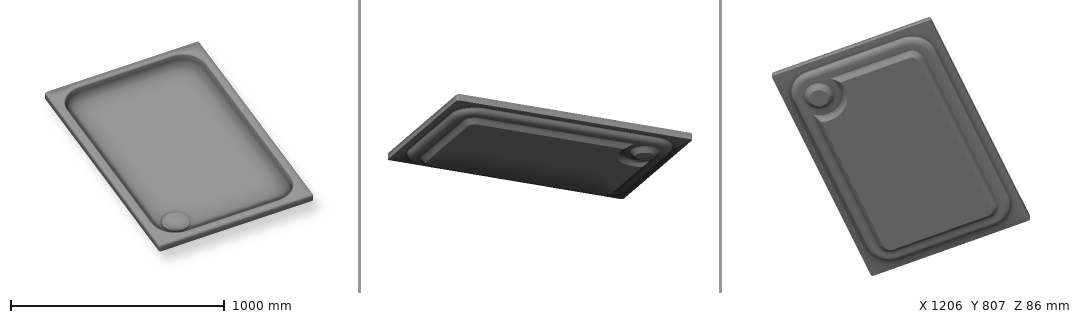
import cadquery as cq
import math

LENGTH = 1206.0
WIDTH = 807.0
HEIGHT = 86.0

RIM_HEIGHT = 36.0
RIM_ROUND = 10.0

CORNER_INSET = 162.0
WALL_DRAFT = 6.0
OPENING_INSET = 42.0
OPENING_ROUND = 7.0
FLOOR_DEPTH = 55.0
FLOOR_ROUND = 29.0

SHELL_INSET = 37.0
SHELL_DEPTH = 61.0
SHELL_ROUND = 31.0

FOOT_TOP_INSET = 104.0
FOOT_BOTTOM_INSET = 128.0
FOOT_WALL_RUN = FOOT_BOTTOM_INSET - FOOT_TOP_INSET

DRAIN_INSET = 170.0
DRAIN_X = LENGTH / 2 - DRAIN_INSET
DRAIN_Y = -WIDTH / 2 + DRAIN_INSET
POD_BOTTOM_DIAMETER = 90.0
CLEARANCE_BOTTOM_DIAMETER = 265.0
RECESS_DIAMETER = 151.0
RECESS_DEPTH = 4.0

CAP_DIAMETER = 130.0
CAP_RIM_HEIGHT = 7.0
CAP_DOME_HEIGHT = 8.0


def rounded_outline(inset, z):
    """Outline parallel to the rim edge, with corners about the shared corner centres."""
    radius = CORNER_INSET - inset
    return (
        cq.Sketch()
        .rect(LENGTH - 2 * inset, WIDTH - 2 * inset)
        .vertices()
        .fillet(radius)
        .moved(cq.Location(cq.Vector(0, 0, z)))
    )


def drafted_block(bottom_inset, bottom_z, top_inset, top_z):
    """Block whose outline changes evenly from the bottom inset to the top inset."""
    bottom = rounded_outline(bottom_inset, bottom_z)
    top = rounded_outline(top_inset, top_z)
    return cq.Workplane("XY").placeSketch(bottom, top).loft()


def bowl_block(top_inset, depth, bottom_round):
    """Block from Z = 0 down to the depth, with drafted sides and a rounded bottom edge."""
    bottom_inset = top_inset + depth * math.tan(math.radians(WALL_DRAFT))
    block = drafted_block(bottom_inset, -depth, top_inset, 0)
    return block.faces("<Z").edges().fillet(bottom_round)


def drain_cone(bottom_z, bottom_diameter, top_z, top_diameter):
    """Cone frustum on the drain axis."""
    height = top_z - bottom_z
    cone = cq.Solid.makeCone(bottom_diameter / 2, top_diameter / 2, height)
    return cq.Workplane(cone.moved(cq.Location(cq.Vector(DRAIN_X, DRAIN_Y, bottom_z))))


def make_rim():
    slab = cq.Workplane("XY").box(LENGTH, WIDTH, RIM_HEIGHT, centered=(True, True, False))
    slab = slab.translate((0, 0, -RIM_HEIGHT))
    return slab.edges("|Z or >Z").fillet(RIM_ROUND)


def make_foot():
    foot = drafted_block(FOOT_BOTTOM_INSET, -HEIGHT, FOOT_TOP_INSET, -SHELL_DEPTH)
    clearance_top_diameter = CLEARANCE_BOTTOM_DIAMETER - 2 * FOOT_WALL_RUN
    clearance = drain_cone(-HEIGHT, CLEARANCE_BOTTOM_DIAMETER, -SHELL_DEPTH, clearance_top_diameter)
    return foot.cut(clearance)


def make_pod():
    pod_top_diameter = POD_BOTTOM_DIAMETER + 2 * FOOT_WALL_RUN
    return drain_cone(-HEIGHT, POD_BOTTOM_DIAMETER, -SHELL_DEPTH, pod_top_diameter)


def make_tray():
    tray = make_rim().union(bowl_block(SHELL_INSET, SHELL_DEPTH, SHELL_ROUND))
    tray = tray.union(make_foot()).union(make_pod())
    tray = tray.cut(bowl_block(OPENING_INSET, FLOOR_DEPTH, FLOOR_ROUND))
    opening_edges = tray.faces(">Z").val().innerWires()[0].Edges()
    tray = tray.newObject(opening_edges).fillet(OPENING_ROUND)
    recess_floor_z = -FLOOR_DEPTH - RECESS_DEPTH
    return tray.cut(drain_cone(recess_floor_z, CAP_DIAMETER, -FLOOR_DEPTH, RECESS_DIAMETER))


def make_cap():
    radius = CAP_DIAMETER / 2
    crown = CAP_RIM_HEIGHT + CAP_DOME_HEIGHT
    dome_radius = (radius**2 + CAP_DOME_HEIGHT**2) / (2 * CAP_DOME_HEIGHT)
    mid_x = radius / 2
    mid_z = crown - dome_radius + math.sqrt(dome_radius**2 - mid_x**2)
    cap = (
        cq.Workplane("XZ")
        .lineTo(radius, 0)
        .lineTo(radius, CAP_RIM_HEIGHT)
        .threePointArc((mid_x, mid_z), (0, crown))
        .close()
        .revolve(360, (0, 0, 0), (0, 1, 0))
    )
    return cap.translate((DRAIN_X, DRAIN_Y, -FLOOR_DEPTH - RECESS_DEPTH))


tray = make_tray()
cap = make_cap()
result = cq.Compound.makeCompound([tray.solids().val(), cap.val()])